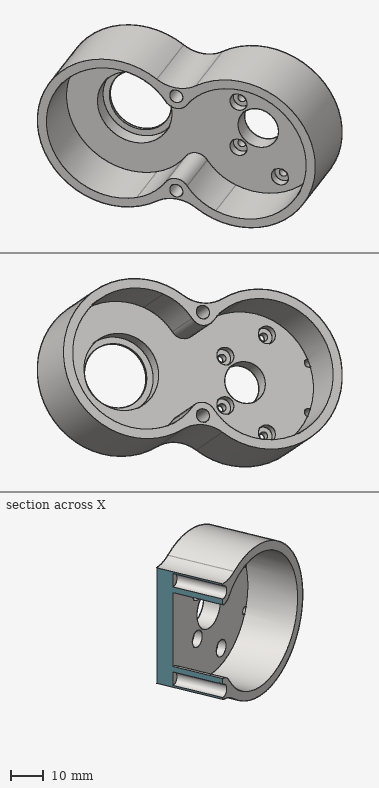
import cadquery as cq
import math

length = 89.8
depth = 24.0
lobe_radius = 25.0
lobe_x = length / 2 - lobe_radius
pocket_depth = 18.0
floor_thickness = depth - pocket_depth

waist_radius = 11.5

pocket_radius = 22.0
blend_start_x = 12.75
post_edge_x = 3.5
post_edge_z = 13.9
post_tip_z = 12.0

post_hole_z = 16.2
post_hole_diameter = 4.2
post_hole_depth = pocket_depth

seat_diameter = 24.1
seat_bore_diameter = 20.0
seat_depth = 5.0

shaft_hole_diameter = 13.0
bolt_circle_radius = 15.45
bolt_circle_x = lobe_x + 7.0
bolt_count = 6
bolt_hole_diameter = 2.5
bolt_head_diameter = 5.5
bolt_head_depth = 3.0


def plane_at(distance):
    """Sketch plane facing -Y, at a distance behind the open rim."""
    return cq.Workplane("XZ", origin=(0, distance - depth / 2, 0))


def cylinder(x, z, diameter, start, height):
    """Cylinder running toward +Y from a distance behind the rim."""
    return plane_at(start).center(x, z).circle(diameter / 2).extrude(-height)


def housing_body():
    waist_center_z = math.sqrt((lobe_radius + waist_radius) ** 2 - lobe_x ** 2)
    tangent_ratio = waist_radius / (lobe_radius + waist_radius)
    tangent_x = lobe_x * tangent_ratio
    tangent_z = waist_center_z * (1 - tangent_ratio)
    waist_z = waist_center_z - waist_radius
    return (
        plane_at(0)
        .moveTo(-tangent_x, tangent_z)
        .threePointArc((0, waist_z), (tangent_x, tangent_z))
        .threePointArc((length / 2, 0), (tangent_x, -tangent_z))
        .threePointArc((0, -waist_z), (-tangent_x, -tangent_z))
        .threePointArc((-length / 2, 0), (-tangent_x, tangent_z))
        .close()
        .extrude(-depth)
    )


def blend_middle(start_z):
    """Midpoint of the arc tangent to the lobe that ends at the post edge."""
    normal_x = (blend_start_x - lobe_x) / pocket_radius
    normal_z = start_z / pocket_radius
    run_x = post_edge_x - blend_start_x
    run_z = post_edge_z - start_z
    radius = -(run_x ** 2 + run_z ** 2) / (2 * (run_x * normal_x + run_z * normal_z))
    center_x = blend_start_x - radius * normal_x
    center_z = start_z - radius * normal_z
    start_angle = math.atan2(normal_z, normal_x)
    end_angle = math.atan2(post_edge_z - center_z, post_edge_x - center_x)
    middle_angle = (start_angle + end_angle) / 2
    return (
        center_x + radius * math.cos(middle_angle),
        center_z + radius * math.sin(middle_angle),
    )


def pocket():
    start_z = math.sqrt(pocket_radius ** 2 - (lobe_x - blend_start_x) ** 2)
    middle_x, middle_z = blend_middle(start_z)
    outline = plane_at(0).moveTo(-post_edge_x, post_edge_z)
    for side in (1, -1):
        outline = (
            outline
            .threePointArc((0, side * post_tip_z), (side * post_edge_x, side * post_edge_z))
            .threePointArc((side * middle_x, side * middle_z), (side * blend_start_x, side * start_z))
            .threePointArc((side * (lobe_x + pocket_radius), 0), (side * blend_start_x, -side * start_z))
            .threePointArc((side * middle_x, -side * middle_z), (side * post_edge_x, -side * post_edge_z))
        )
    return outline.close().extrude(-pocket_depth)


def bolt_hole(index):
    """Floor hole; it has a head recess only where the recess clears the side wall."""
    angle = 2 * math.pi * (index + 0.5) / bolt_count
    x = bolt_circle_x + bolt_circle_radius * math.cos(angle)
    z = bolt_circle_radius * math.sin(angle)
    hole = cylinder(x, z, bolt_hole_diameter, pocket_depth, floor_thickness)
    wall_gap = pocket_radius - math.hypot(x - lobe_x, z)
    if wall_gap > bolt_head_diameter / 2:
        hole = hole.union(cylinder(x, z, bolt_head_diameter, pocket_depth, bolt_head_depth))
    return hole


result = housing_body().cut(pocket())

for post_z in (post_hole_z, -post_hole_z):
    result = result.cut(cylinder(0, post_z, post_hole_diameter, 0, post_hole_depth))

result = result.cut(cylinder(-lobe_x, 0, seat_diameter, pocket_depth, seat_depth))
result = result.cut(cylinder(-lobe_x, 0, seat_bore_diameter, pocket_depth, floor_thickness))
result = result.cut(cylinder(lobe_x, 0, shaft_hole_diameter, pocket_depth, floor_thickness))

for bolt_index in range(bolt_count):
    result = result.cut(bolt_hole(bolt_index))